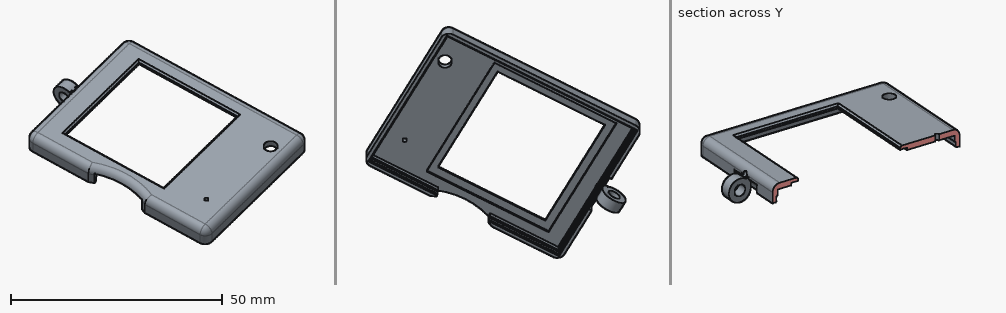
import cadquery as cq

length = 53.4
width = 40.0
height = 5.0
edge_radius = 2.0

rim_wall = 1.2
wall_step = 0.3
upper_wall = rim_wall + wall_step
lower_stage_height = 1.45
cavity_height = 3.25

window_size = 29.0
window_center = (21.85, 20.3)
window_bevel = 0.5
window_lip = 1.1
recess_margin = 2.0

top_holes = [((48.75, 31.4), 3.3), ((46.9, 8.55), 1.0)]

scoop_center_x = 26.85
scoop_radius = 19.7
scoop_depth = 1.85
opening_width = 14.0
opening_reach = 3.0

ring_radius = 3.15
ring_hole_diameter = 3.0
ring_thickness = 3.0
ring_center_x = -2.55
ring_center_y = width / 2
neck_top = 2.7
neck_embed = 0.5
clearance_radius = 3.4
clearance_width = 9.5
cord_hole_diameter = 1.4
cord_hole_z = 3.05


def block(x_min, x_max, y_min, y_max, z_min, z_max):
    size = (x_max - x_min, y_max - y_min, z_max - z_min)
    return cq.Workplane("XY").box(*size, centered=False).translate((x_min, y_min, z_min))


def cylinder_along_y(radius, thickness):
    """Cylinder on the ring axis, centred on the ring's mid plane."""
    base = cq.Workplane("XZ", origin=(ring_center_x, ring_center_y + thickness / 2, 0))
    return base.circle(radius).extrude(thickness)


def outer_shell():
    body = block(0, length, 0, width, 0, height).edges("|Z").fillet(edge_radius)
    scoop = (
        cq.Workplane("XY")
        .center(scoop_center_x, scoop_depth - scoop_radius)
        .circle(scoop_radius)
        .extrude(height)
    )
    return body.cut(scoop).faces(">Z").edges().fillet(edge_radius)


def inset_block(wall, z_min, z_max):
    """Block that fills the shell's plan, set in by the wall thickness."""
    return block(wall, length - wall, wall, width - wall, z_min, z_max)


def tapered_step(wall, z_min):
    """Inset frustum whose sides lean in at 45 degrees over one wall step."""
    inset = 2 * wall
    shrink = 2 * wall_step
    return (
        cq.Workplane("XY", origin=(length / 2, width / 2, z_min))
        .rect(length - inset, width - inset)
        .workplane(offset=wall_step)
        .rect(length - inset - shrink, width - inset - shrink)
        .loft(ruled=True)
    )


def cavity():
    lead_in = tapered_step(rim_wall - wall_step, 0)
    lower = inset_block(rim_wall, 0, lower_stage_height)
    slope = tapered_step(rim_wall, lower_stage_height)
    upper = inset_block(upper_wall, 0, cavity_height)
    return upper.union(lower).union(slope).union(lead_in)


def window():
    bevel_size = window_size + 2 * window_bevel
    recess_size = window_size + 2 * recess_margin
    base = cq.Workplane("XY").center(*window_center)
    through = base.rect(window_size, window_size).extrude(height)
    recess = base.rect(recess_size, recess_size).extrude(height - window_lip)
    bevel = (
        base.workplane(offset=height)
        .rect(bevel_size, bevel_size)
        .workplane(offset=-window_bevel)
        .rect(window_size, window_size)
        .loft(ruled=True)
    )
    return through.union(recess).union(bevel)


def front_opening():
    half = opening_width / 2
    x_min = scoop_center_x - half
    x_max = scoop_center_x + half
    return block(x_min, x_max, 0, opening_reach, 0, cavity_height)


def drill_top(body):
    for position, diameter in top_holes:
        hole = cq.Workplane("XY").center(*position).circle(diameter / 2).extrude(height)
        body = body.cut(hole)
    return body


def add_lanyard_ring(body):
    half = ring_thickness / 2
    hole_radius = ring_hole_diameter / 2
    neck_start = ring_center_x + hole_radius
    neck = block(neck_start, neck_embed, ring_center_y - half, ring_center_y + half, 0, neck_top)
    cord_hole = (
        cq.Workplane("YZ", origin=(neck_start, ring_center_y, cord_hole_z))
        .circle(cord_hole_diameter / 2)
        .extrude(upper_wall - neck_start)
    )
    body = body.cut(cylinder_along_y(clearance_radius, clearance_width))
    body = body.union(neck).cut(cord_hole)
    ring = cylinder_along_y(ring_radius, ring_thickness)
    return body.union(ring).cut(cylinder_along_y(hole_radius, ring_thickness))


cover = outer_shell().cut(cavity()).cut(window()).cut(front_opening())
result = add_lanyard_ring(drill_top(cover))